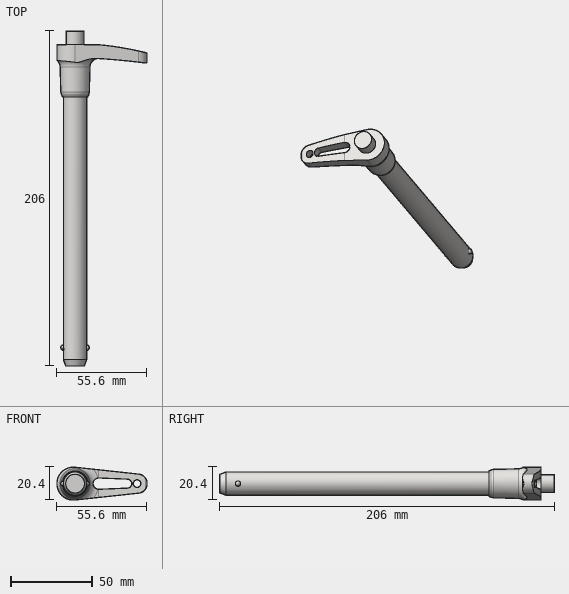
import cadquery as cq
import math

total_length = 206

shank_radius = 7.2
tip_radius = 5.8
tip_length = 4.0

ball_radius = 1.6
ball_y = 11.3
ball_reach = 8.9

collar_front_y = 165.6
collar_step_y = 166.9
collar_bevel_y = 168.5
collar_back_y = 184.0
collar_front_radius = 7.8
collar_step_radius = 8.5
collar_bevel_radius = 8.9
collar_back_radius = 9.3

button_radius = 5.5
button_length = 8.2

handle_top_y = total_length - button_length
head_diameter = 20.4
head_radius = head_diameter / 2
head_center_x = -1.0
handle_length = 55.6
handle_end_x = head_center_x - head_radius + handle_length
root_fillet = 5.1
underside_y = collar_back_y + root_fillet
arm_end_radius = 6.0
arm_end_bottom_y = 186.2
arm_end_top_y = 192.5
arm_edge_fillet = 1.0
flare_radius = collar_back_radius + root_fillet
arm_top_mid = (29.9, 195.7)
arm_bottom_mid = (29.9, 187.9)

slot_start_x = 11.1
slot_end_x = 34.8
slot_start_width = 6.8
slot_start_radius = slot_start_width / 2
slot_end_radius = 2.7
lanyard_hole_x = 38.1
lanyard_hole_radius = 2.3


def tapered_outline(x1, radius1, x2, radius2):
    """Plan of two circles joined by their outer tangents, extruded over the whole length."""
    lean = (radius1 - radius2) / (x2 - x1)
    rise = math.sqrt(1 - lean**2)
    start = (x1 + radius1 * lean, radius1 * rise)
    end = (x2 + radius2 * lean, radius2 * rise)
    return (
        cq.Workplane("XZ")
        .moveTo(*start)
        .lineTo(*end)
        .threePointArc((x2 + radius2, 0), (end[0], -end[1]))
        .lineTo(start[0], -start[1])
        .threePointArc((x1 - radius1, 0), start)
        .close()
        .extrude(-total_length)
    )


def make_pin():
    """Turned shank, collar and button."""
    return (
        cq.Workplane("XY")
        .moveTo(0, 0)
        .lineTo(tip_radius, 0)
        .lineTo(shank_radius, tip_length)
        .lineTo(shank_radius, collar_front_y)
        .lineTo(collar_front_radius, collar_front_y)
        .lineTo(collar_step_radius, collar_step_y)
        .lineTo(collar_bevel_radius, collar_bevel_y)
        .lineTo(collar_back_radius, collar_back_y)
        .lineTo(collar_back_radius, handle_top_y)
        .lineTo(button_radius, handle_top_y)
        .lineTo(button_radius, total_length)
        .lineTo(0, total_length)
        .close()
        .revolve(360, (0, 0, 0), (0, 1, 0))
    )


def make_arm_profile():
    """Side shape of the head and the drooping arm, wide enough to be trimmed by the plan."""
    return (
        cq.Workplane("XY")
        .moveTo(head_center_x - head_radius, underside_y)
        .lineTo(flare_radius, underside_y)
        .threePointArc(arm_bottom_mid, (handle_end_x, arm_end_bottom_y))
        .lineTo(handle_end_x, arm_end_top_y)
        .threePointArc(arm_top_mid, (flare_radius, handle_top_y))
        .lineTo(head_center_x - head_radius, handle_top_y)
        .close()
        .extrude(head_radius, both=True)
        .edges("|Z and >X")
        .fillet(arm_edge_fillet)
    )


def make_root():
    """Concave flare that blends the collar into the underside of the handle."""
    inset = root_fillet * math.sqrt(0.5)
    return (
        cq.Workplane("XY")
        .moveTo(0, collar_back_y)
        .lineTo(collar_back_radius, collar_back_y)
        .threePointArc(
            (flare_radius - inset, collar_back_y + inset),
            (flare_radius, underside_y),
        )
        .lineTo(0, underside_y)
        .close()
        .revolve(360, (0, 0, 0), (0, 1, 0))
    )


def make_handle():
    """Head, arm and flare trimmed to the tapered plan, with the slot and lanyard hole cut through."""
    plan = tapered_outline(head_center_x, head_radius, handle_end_x - arm_end_radius, arm_end_radius)
    slot = tapered_outline(
        slot_start_x + slot_start_radius,
        slot_start_radius,
        slot_end_x - slot_end_radius,
        slot_end_radius,
    )
    lanyard_hole = (
        cq.Workplane("XZ").center(lanyard_hole_x, 0).circle(lanyard_hole_radius).extrude(-total_length)
    )
    return make_arm_profile().union(make_root()).intersect(plan).cut(slot).cut(lanyard_hole)


result = make_pin().union(make_handle())

for side in (-1, 1):
    ball_x = side * (ball_reach - ball_radius)
    result = result.union(cq.Workplane("XY").sphere(ball_radius).translate((ball_x, ball_y, 0)))